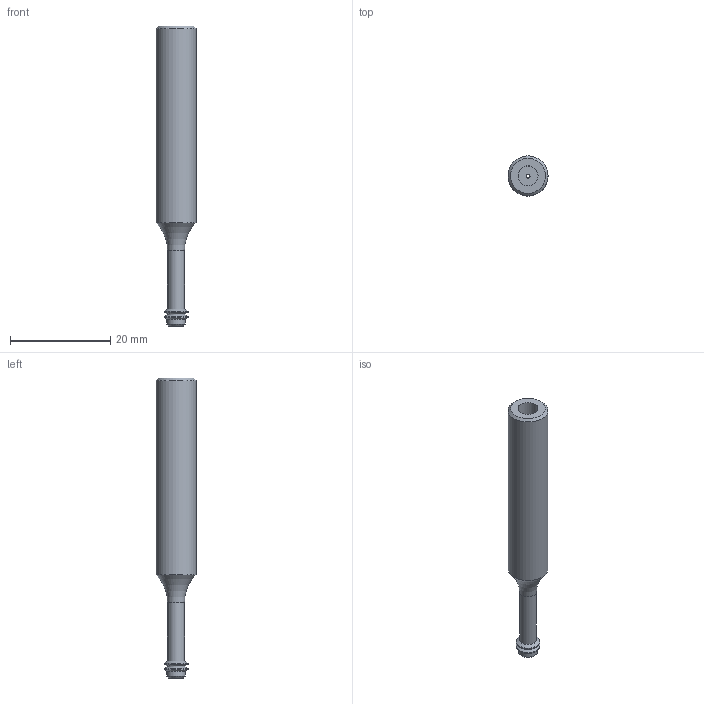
import cadquery as cq
import math

total_length = 60.0

shank_radius = 4.0
shank_chamfer = 0.5

neck_radius = 1.7
flare_radius = 8.0
flare_start = 15.05

tip_radius = 1.875
tip_chamfer = 0.4

ring_count = 2
ring_radius = 2.4
ring_rim_width = 0.2
ring_flank_angle = 30.0
first_ring_height = 1.78
ring_pitch = 1.08

bore_radius = 2.0
bore_depth = 30.0
passage_radius = 0.4

last_ring_height = first_ring_height + (ring_count - 1) * ring_pitch
flare_rise = shank_radius - neck_radius
flare_length = math.sqrt(flare_radius**2 - (flare_radius - flare_rise)**2)


def flank_height(root_radius):
    """Axial height of a ring flank between its rim and the given root radius."""
    return (ring_radius - root_radius) * math.tan(math.radians(ring_flank_angle))


def flare_point(angle):
    """Point (radius, height) on the flare, at an angle from its tangent end on the neck."""
    radius = neck_radius + flare_radius * (1 - math.cos(angle))
    height = flare_start + flare_radius * math.sin(angle)
    return radius, height


def make_body():
    """Tip, neck, flare and shank, turned from one half profile."""
    flare_angle = math.asin(flare_length / flare_radius)
    profile = (
        cq.Workplane("XZ")
        .moveTo(0, 0)
        .lineTo(tip_radius - tip_chamfer, 0)
        .lineTo(tip_radius, tip_chamfer)
        .lineTo(tip_radius, last_ring_height)
        .lineTo(neck_radius, last_ring_height)
        .lineTo(*flare_point(0))
        .threePointArc(flare_point(flare_angle / 2), flare_point(flare_angle))
        .lineTo(shank_radius, total_length - shank_chamfer)
        .lineTo(shank_radius - shank_chamfer, total_length)
        .lineTo(0, total_length)
        .close()
    )
    return profile.revolve(360, (0, 0, 0), (0, 1, 0))


def make_ring(height, upper_root_radius):
    """One sealing ring centred at a height, its upper flank running in to the given radius."""
    rim_bottom = height - ring_rim_width / 2
    rim_top = height + ring_rim_width / 2
    ring_bottom = rim_bottom - flank_height(tip_radius)
    ring_top = rim_top + flank_height(upper_root_radius)
    profile = (
        cq.Workplane("XZ")
        .moveTo(passage_radius, ring_bottom)
        .lineTo(tip_radius, ring_bottom)
        .lineTo(ring_radius, rim_bottom)
        .lineTo(ring_radius, rim_top)
        .lineTo(upper_root_radius, ring_top)
        .lineTo(passage_radius, ring_top)
        .close()
    )
    return profile.revolve(360, (0, 0, 0), (0, 1, 0))


def add_rings(body):
    """Stack the rings up from the tip; the last one runs in to the thinner neck."""
    for index in range(ring_count):
        is_last = index == ring_count - 1
        upper_root_radius = neck_radius if is_last else tip_radius
        height = first_ring_height + index * ring_pitch
        body = body.union(make_ring(height, upper_root_radius))
    return body


def cut_passage(body):
    """Blind bore from the shank end, continued to the tip by a fine passage."""
    bore_floor = cq.Workplane("XY").workplane(offset=total_length - bore_depth)
    bore = bore_floor.circle(bore_radius).extrude(bore_depth)
    passage = cq.Workplane("XY").circle(passage_radius).extrude(total_length)
    return body.cut(bore).cut(passage)


result = cut_passage(add_rings(make_body()))